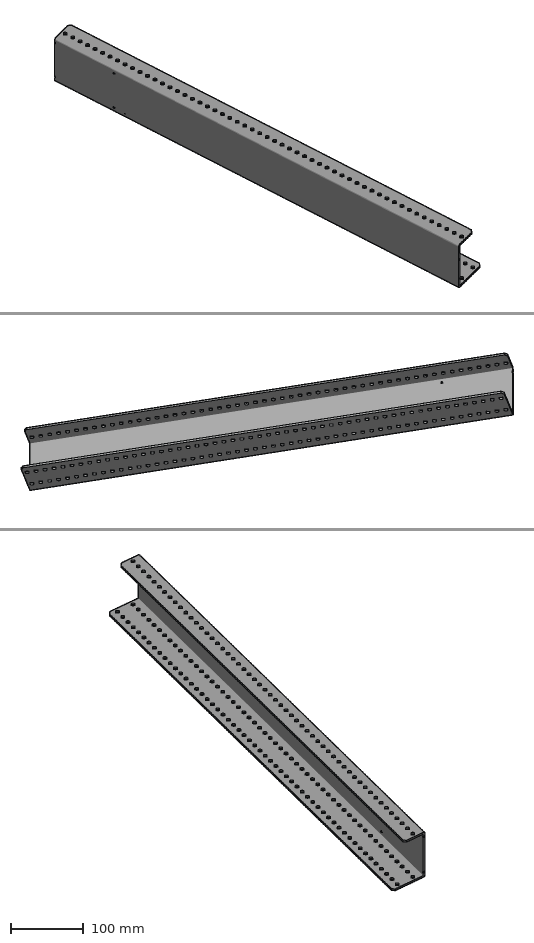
import cadquery as cq

length = 686.0
bottom_depth = 54.0
top_depth = 35.0
height = 84.5
thickness = 3.5

inner_radius = 0.35
outer_radius = inner_radius + thickness

corner_chamfer = 3.5

hole_diameter = 5.35
hole_count = 54
hole_pitch = length / hole_count
inner_row_y = 16.5
outer_row_y = 42.5

pilot_diameter = 2.55
pilot_spacing = 101.0
pilot_edge_distance = 9.0


def make_flange(depth):
    """Flat plate with bevelled free corners, resting on Z = 0."""
    plate = cq.Workplane("XY").box(length, depth, thickness, centered=False)
    return plate.edges(">Y and |Z").chamfer(corner_chamfer)


def make_channel():
    """Unequal-flange channel with bent corners, running along X."""
    web = cq.Workplane("XY").box(length, thickness, height, centered=False)
    bottom_flange = make_flange(bottom_depth)
    top_flange = make_flange(top_depth).translate((0, 0, height - thickness))
    channel = web.union(bottom_flange).union(top_flange).clean()
    channel = channel.faces("<Y").edges("|X").fillet(outer_radius)

    margin = thickness / 10
    inner_corners = cq.selectors.BoxSelector(
        (0, thickness - margin, thickness - margin),
        (length, thickness + margin, height - thickness + margin),
    )
    return channel.edges("|X").edges(inner_corners).fillet(inner_radius)


def hole_row(row_y, row_height):
    """Row of vertical cutters from the underside up to row_height."""
    points = [((i + 0.5) * hole_pitch, row_y) for i in range(hole_count)]
    return cq.Workplane("XY").pushPoints(points).circle(hole_diameter / 2).extrude(row_height)


def pilot_holes():
    """Two pairs of cutters through the web along Y."""
    points = [
        (x, z)
        for x in (0, pilot_spacing)
        for z in (pilot_edge_distance, height - pilot_edge_distance)
    ]
    return cq.Workplane("XZ").pushPoints(points).circle(pilot_diameter / 2).extrude(-thickness)


result = (
    make_channel()
    .cut(hole_row(inner_row_y, height))
    .cut(hole_row(outer_row_y, thickness))
    .cut(pilot_holes())
)